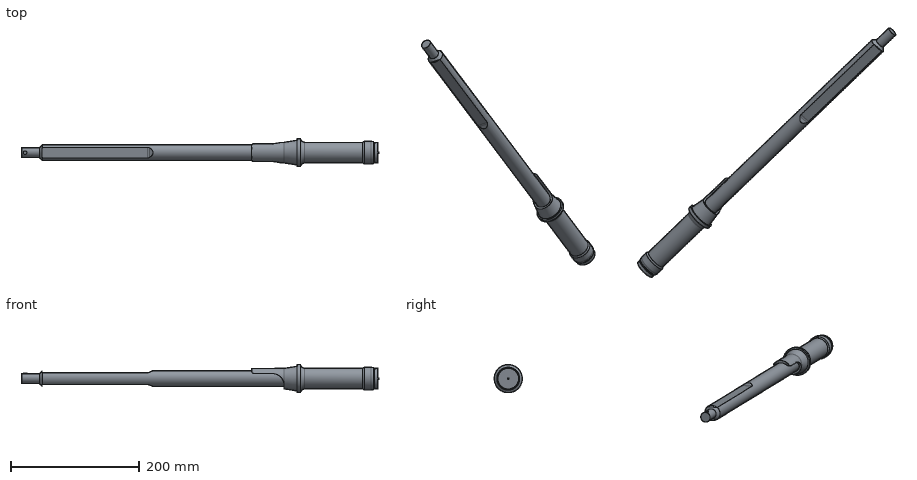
import cadquery as cq

total_length = 558.5

spigot_radius = 8.0
spigot_length = 28.0
shaft_diameter = 25.0
shaft_radius = shaft_diameter / 2
nose_end = 33.0
flat_start = 32.5
flat_height = 9.5
flat_end = 197.0
ramp_length = 8.5
ramp_blend_length = 3.0
ramp_blend_rise = 0.5
detent_x = 5.5
detent_radius = 3.0
detent_rise = 0.85

grip_radius = 16.0
tongue_start = 359.5
tongue_height = 8.0
tongue_corner = 4.0
tongue_bend = 392.0
flare_start = 410.0
flare_radius = 19.5
flange_start = 430.5
flange_width = 5.0
flange_diameter = 44.0
flange_radius = flange_diameter / 2
shoulder_end = 442.5
shoulder_arc_radius = 8.5
band_ramp_start = 533.0
band_start = 535.5
band_radius = 18.0
band_taper_start = 546.0
band_end = 550.0
band_end_radius = 17.5
groove_radius = 14.0
cap_start = 552.0
cap_end = 557.0
tip_radius = 1.0


def make_shaft():
    body = (
        cq.Workplane("XY")
        .lineTo(0, spigot_radius)
        .lineTo(spigot_length, spigot_radius)
        .lineTo(nose_end, shaft_radius)
        .lineTo(flare_start, shaft_radius)
        .lineTo(flare_start, 0)
        .close()
        .revolve(360, (0, 0, 0), (1, 0, 0))
    )
    ramp_rise = shaft_radius - flat_height
    flat = (
        cq.Workplane("XZ")
        .moveTo(flat_start, flat_height)
        .lineTo(flat_end, flat_height)
        .tangentArcPoint((flat_end + ramp_blend_length, flat_height + ramp_blend_rise), relative=False)
        .lineTo(flat_end + ramp_length, flat_height + ramp_rise)
        .lineTo(flat_start, flat_height + ramp_rise)
        .close()
        .extrude(shaft_radius, both=True)
    )
    body = body.cut(flat).cut(flat.mirror("XY"))
    detent = (
        cq.Workplane("XY")
        .center(detent_x, 0)
        .circle(detent_radius)
        .extrude(spigot_radius + detent_rise)
    )
    return body.union(detent)


def make_handle():
    flange_end = flange_start + flange_width
    body = (
        cq.Workplane("XY")
        .moveTo(tongue_start, 0)
        .lineTo(tongue_start, grip_radius)
        .lineTo(flare_start, grip_radius)
        .lineTo(flange_start, flare_radius)
        .lineTo(flange_start, flange_radius)
        .lineTo(flange_end, flange_radius)
        .radiusArc((shoulder_end, grip_radius), -shoulder_arc_radius)
        .lineTo(band_ramp_start, grip_radius)
        .lineTo(band_start, band_radius)
        .lineTo(band_taper_start, band_radius)
        .lineTo(band_end, band_end_radius)
        .lineTo(band_end, groove_radius)
        .lineTo(cap_start, groove_radius)
        .lineTo(cap_start, grip_radius)
        .lineTo(cap_end, grip_radius)
        .lineTo(cap_end, tip_radius)
        .lineTo(total_length, tip_radius)
        .lineTo(total_length, 0)
        .close()
        .revolve(360, (0, 0, 0), (1, 0, 0))
    )
    below_tongue = (
        cq.Workplane("XZ")
        .moveTo(tongue_start, -grip_radius)
        .lineTo(tongue_start, tongue_height + tongue_corner)
        .radiusArc((tongue_start + tongue_corner, tongue_height), -tongue_corner)
        .lineTo(tongue_bend, tongue_height)
        .tangentArcPoint((flare_start, -tongue_height), relative=False)
        .lineTo(flare_start, -grip_radius)
        .close()
        .extrude(grip_radius, both=True)
    )
    socket = (
        cq.Workplane("YZ", origin=(tongue_start, 0, 0))
        .circle(shaft_radius)
        .extrude(flare_start - tongue_start)
    )
    return body.cut(below_tongue).cut(socket)


shaft = make_shaft()
handle = make_handle()
result = cq.Compound.makeCompound([shaft.val(), handle.val()])